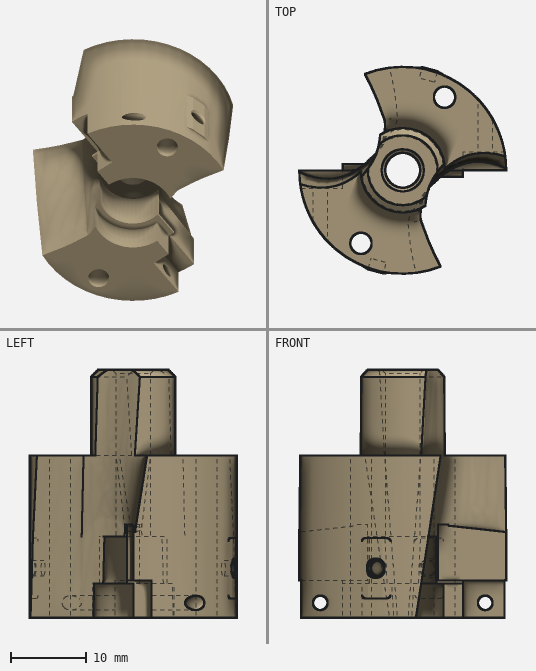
import cadquery as cq

body_radius = 13.75
body_height = 21.6
shank_radius = 5.6
total_height = 32.97
shank_chamfer = 0.95
bore_radius = 2.3
bore_mouth_radius = 2.8
bore_chamfer = bore_mouth_radius - bore_radius

twist_per_mm = 0.66
outside = 2 * body_radius

wall_outer = (5.9, -14.3)
wall_middle = (3.52, -9.6)
wall_inner = (2.4, -6.6)
web_middle = (2.75, -3.7)
web_end = (4.5, -0.9)
face_start = (6.4, 0.85)
face_middle = (8.65, 2.0)
face_crest = (11.0, 2.3)
face_outer = (13.75, 1.8)

lower_recess_radius = 5.42
lower_recess_top = 4.55
upper_recess_radius = 4.5
upper_recess_top = 10.8

plate_bottom = 5.0
plate_top_inner = 12.4
plate_top_outer = 11.4
plate_thickness = 2.4
seat_inner_x = 4.7
seat_flat_x = 6.7
seat_curve_depth = 0.86
seat_cut_inner_x = 3.1
seat_cut_depth = 4.5
ledge_outer_x = 8.0

coolant_hole_x = 5.55
coolant_hole_y = 9.7
coolant_hole_radius = 1.4
pin_hole_x = 10.95
pin_hole_z = 2.0
pin_hole_radius = 0.95

pad_angle = 15.0
pad_width = 4.0
pad_flat_width = 2.0
pad_height = 8.0
pad_bottom = 2.6
pad_face = 13.9
pad_edge = 13.6
pad_root = 12.0
pad_corner_radius = 0.55
pad_hole_mouth_radius = 1.3
pad_hole_radius = 1.05
pad_hole_depth = 1.5


def block(x0, x1, y0, y1, z0, z1):
    """Axis-aligned box between two opposite corners."""
    return cq.Workplane("XY").box(x1 - x0, y1 - y0, z1 - z0, centered=False).translate((x0, y0, z0))


def both_halves(shape):
    """The shape together with its copy half a turn about the tool axis."""
    return shape.union(shape.rotate((0, 0, 0), (0, 0, 1), 180))


def make_blank():
    body = cq.Workplane("XY").circle(body_radius).extrude(body_height)
    shank = cq.Workplane("XY").circle(shank_radius).extrude(total_height)
    return body.union(shank.faces(">Z").chamfer(shank_chamfer))


def make_flute():
    section = (
        cq.Workplane("XY")
        .moveTo(*wall_outer)
        .threePointArc(wall_middle, wall_inner)
        .threePointArc(web_middle, web_end)
        .spline([face_start, face_middle, face_crest, face_outer], includeCurrent=True)
        .lineTo(outside, face_outer[1])
        .lineTo(outside, -outside)
        .lineTo(wall_outer[0], -outside)
        .close()
    )
    flute = section.twistExtrude(total_height, twist_per_mm * total_height)
    return flute.rotate((0, 0, 0), (0, 0, 1), -twist_per_mm * body_height)


def make_ledge():
    """Shelf that carries the inner end of the plate; the seat cut trims its lower part back to y = 0."""
    return block(seat_cut_inner_x, ledge_outer_x, -seat_curve_depth, plate_thickness, 0, plate_bottom)


def make_seat_cut():
    """Clearance in front of the plate, its inner end curling forward from the flat."""
    curve_width = seat_flat_x - seat_inner_x
    curve_radius = (curve_width**2 + seat_curve_depth**2) / (2 * seat_curve_depth)
    seat = (
        cq.Workplane("XY")
        .workplane(offset=plate_bottom)
        .moveTo(outside, 0)
        .lineTo(seat_flat_x, 0)
        .radiusArc((seat_inner_x, -seat_curve_depth), -curve_radius)
        .lineTo(seat_inner_x, -seat_cut_depth)
        .lineTo(outside, -seat_cut_depth)
        .close()
        .extrude(plate_top_inner - plate_bottom)
    )
    front = block(seat_cut_inner_x, outside, -seat_cut_depth, -seat_curve_depth, 0, upper_recess_top)
    under_ledge = block(seat_cut_inner_x, outside, -seat_cut_depth, 0, 0, lower_recess_top)
    beyond_ledge = block(ledge_outer_x, outside, -seat_cut_depth, plate_thickness, 0, plate_bottom)
    return seat.union(front).union(under_ledge).union(beyond_ledge)


def make_plate():
    """Cutting plate with stock in front of it, which the seat cut trims to the curled face."""
    outline = [
        (seat_inner_x, plate_bottom),
        (body_radius, plate_bottom),
        (body_radius, plate_top_outer),
        (seat_inner_x, plate_top_inner),
    ]
    front = cq.Workplane("XZ", origin=(0, -seat_curve_depth, 0))
    plate = front.polyline(outline).close().extrude(-seat_curve_depth - plate_thickness)
    return plate.intersect(cq.Workplane("XY").circle(body_radius).extrude(body_height))


def place_pad(shape):
    """Turn a pad shape about the tool axis and lift it to its height on the body."""
    return shape.rotate((0, 0, 0), (0, 0, 1), -pad_angle).translate((0, 0, pad_bottom))


def make_pad():
    half_width = pad_width / 2
    half_flat = pad_flat_width / 2
    section = [
        (-half_width, -pad_root),
        (-half_width, -pad_edge),
        (-half_flat, -pad_face),
        (half_flat, -pad_face),
        (half_width, -pad_edge),
        (half_width, -pad_root),
    ]
    pad = cq.Workplane("XY").polyline(section).close().extrude(pad_height)
    outline = (
        cq.Workplane("XZ")
        .center(0, pad_height / 2)
        .rect(pad_width, pad_height)
        .extrude(outside)
        .edges("|Y")
        .fillet(pad_corner_radius)
    )
    return place_pad(pad.intersect(outline))


def make_pad_hole():
    """Blind hole in the pad with a countersunk mouth."""
    countersink = pad_hole_mouth_radius - pad_hole_radius
    outline = [
        (0, pad_hole_depth - pad_face),
        (pad_hole_radius, pad_hole_depth - pad_face),
        (pad_hole_radius, countersink - pad_face),
        (pad_hole_mouth_radius, -pad_face),
        (0, -pad_face),
    ]
    hole = cq.Workplane("XY").polyline(outline).close().revolve(360, (0, 0, 0), (0, 1, 0))
    return place_pad(hole.translate((0, 0, pad_height / 2)))


def make_holes():
    coolant = cq.Workplane("XY").center(coolant_hole_x, coolant_hole_y)
    coolant = coolant.circle(coolant_hole_radius).extrude(body_height)
    pin = cq.Workplane("XZ").center(pin_hole_x, pin_hole_z)
    pin = pin.circle(pin_hole_radius).extrude(outside, both=True)
    return coolant.union(pin).union(make_pad_hole())


def make_bore():
    bore = cq.Workplane("XY").circle(bore_radius).extrude(total_height)
    mouth = (
        cq.Workplane("XY")
        .workplane(offset=total_height - bore_chamfer)
        .circle(bore_radius)
        .workplane(offset=bore_chamfer)
        .circle(bore_mouth_radius)
        .loft()
    )
    lower_recess = cq.Workplane("XY").circle(lower_recess_radius).extrude(lower_recess_top)
    upper_recess = cq.Workplane("XY").circle(upper_recess_radius).extrude(upper_recess_top)
    return bore.union(mouth).union(lower_recess).union(upper_recess)


result = make_blank().cut(both_halves(make_flute()))
for addition in (make_plate(), make_ledge(), make_pad()):
    result = result.union(both_halves(addition))
for cutter in (make_seat_cut(), make_holes()):
    result = result.cut(both_halves(cutter))
result = result.cut(make_bore())